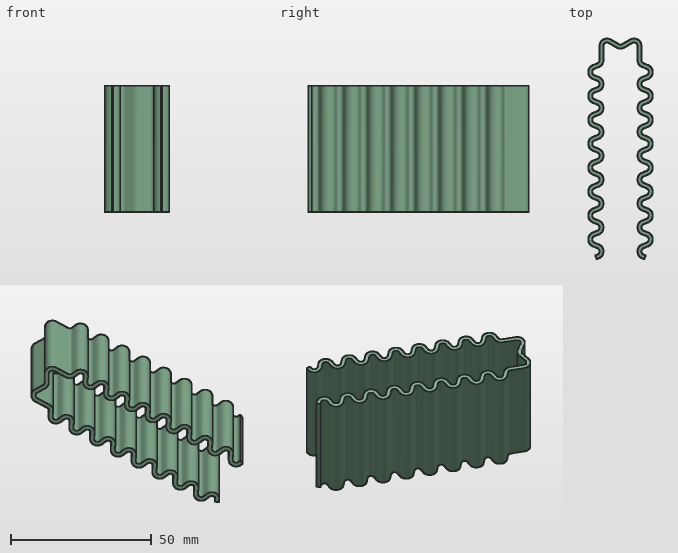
import cadquery as cq
import math

total_length = 78.5
total_width = 23.0
height = 45.0
thickness = 1.5
crown_width = 15.0
crown_slope = 30.0
bend_radius = 2.0
waves_length = 68.0
wave_count = 8

wave_pitch = waves_length / wave_count
half_pitch = wave_pitch / 2
half_thickness = thickness / 2
wave_depth = (total_width - crown_width) / 2
bend_offset_x = wave_depth - 2 * bend_radius
bend_distance = math.hypot(bend_offset_x, half_pitch)
web_length = math.sqrt(bend_distance**2 - (2 * bend_radius) ** 2)
web_angle = math.atan2(half_pitch, bend_offset_x) - math.asin(2 * bend_radius / bend_distance)
web_slope = math.degrees(web_angle)

crown_angle = math.radians(crown_slope)
wall_centre_x = crown_width / 2 - half_thickness
crown_bends_width = bend_radius * (1 + 2 * math.sin(crown_angle))
crown_straight = (wall_centre_x - crown_bends_width) / math.cos(crown_angle)

tip_straight = web_length / 2
outer_bend_radius = bend_radius + half_thickness
tip_length = outer_bend_radius * math.cos(web_angle) + tip_straight * math.sin(web_angle)
wall_straight = total_length - outer_bend_radius - waves_length - tip_length


def half_strip_steps():
    """Bends and straights from the middle of the V to one tip: (turn, straight).

    Turns are in degrees, positive to the left.
    """
    steps = [
        (crown_slope, crown_straight),
        (-(90 + crown_slope), wall_straight),
        (90 - web_slope, web_length),
    ]
    full_bend = 180 - 2 * web_slope
    for wave in range(wave_count):
        is_last = wave == wave_count - 1
        steps.append((-full_bend, web_length))
        steps.append((full_bend, tip_straight if is_last else web_length))
    return steps


def shifted(point, distance, heading):
    """Point moved a distance along a heading in degrees."""
    angle = math.radians(heading)
    return (point[0] + distance * math.cos(angle), point[1] + distance * math.sin(angle))


def half_strip_edges(steps):
    """Edges of the closed outline of one half of the bent sheet.

    The sheet centreline is followed from the middle of the V, and both faces lie half a thickness from it.
    """
    edges = []
    middle = (0.0, 0.0)
    heading = 0.0

    def face_point(centre_point, direction, side):
        return cq.Vector(*shifted(centre_point, side * half_thickness, direction + 90))

    def add_end(point, direction):
        edges.append(cq.Edge.makeLine(face_point(point, direction, 1), face_point(point, direction, -1)))

    add_end(middle, heading)
    for turn, straight in steps:
        turn_sign = math.copysign(1, turn)
        bend_centre = shifted(middle, turn_sign * bend_radius, heading + 90)
        bend_headings = [heading, heading + turn / 2, heading + turn]
        bend_points = [shifted(bend_centre, -turn_sign * bend_radius, h + 90) for h in bend_headings]
        heading = bend_headings[-1]
        middle = shifted(bend_points[-1], straight, heading)
        for side in (1, -1):
            arc = [face_point(p, h, side) for p, h in zip(bend_points, bend_headings)]
            edges.append(cq.Edge.makeThreePointArc(*arc))
            edges.append(cq.Edge.makeLine(arc[-1], face_point(middle, heading, side)))
    add_end(middle, heading)
    return edges


outline = cq.Wire.combine(half_strip_edges(half_strip_steps()))[0]
half_strip = cq.Workplane("XY").add(outline).toPending().extrude(height)
result = half_strip.union(half_strip.mirror("YZ")).solids()